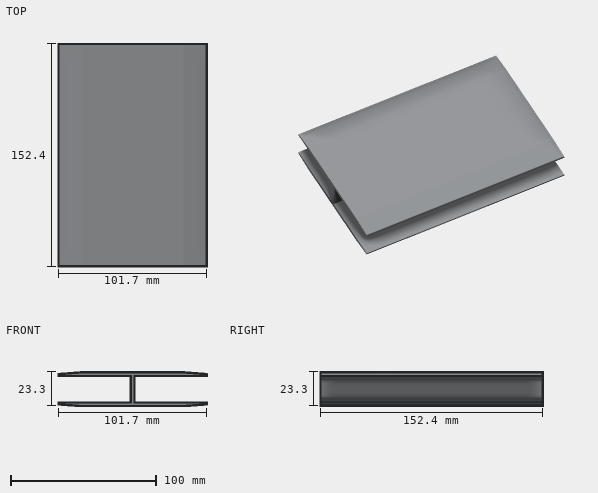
import cadquery as cq

length = 152.4
width = 101.7
height = 23.3
gap = 18.0
web_thickness = 2.7
taper_width = 15.8
taper_drop = 1.2
tip_radius = 0.6

half_width = width / 2
half_gap = gap / 2
flange_thickness = (height - gap) / 2
tip_thickness = flange_thickness - taper_drop
flat_half_width = half_width - taper_width


def make_upper_flange():
    """Flange with a flat inner face, sloped outer edges and rounded tips."""
    outline = [
        (-half_width, 0),
        (half_width, 0),
        (half_width, tip_thickness),
        (flat_half_width, flange_thickness),
        (-flat_half_width, flange_thickness),
        (-half_width, tip_thickness),
    ]
    flange = cq.Workplane("XZ").polyline(outline).close().extrude(length / 2, both=True)
    tip_edges = flange.faces("<X or >X").edges(">Z")
    return tip_edges.fillet(tip_radius).translate((0, 0, half_gap))


upper_flange = make_upper_flange()
lower_flange = upper_flange.mirror("XY")
web = cq.Workplane("XY").box(web_thickness, length, gap)

result = web.union(upper_flange).union(lower_flange)